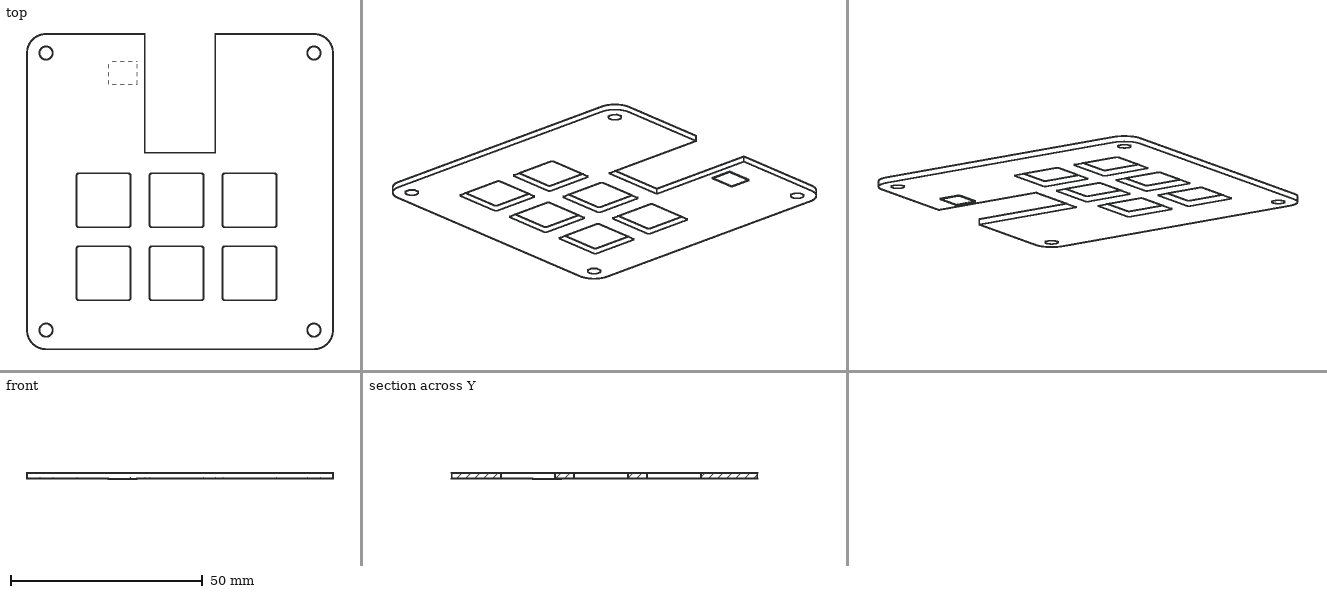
import cadquery as cq

plate_width = 79.9
plate_length = 82.3
plate_thickness = 1.5
corner_radius = 5.0

hole_diameter = 3.4
hole_spacing_x = plate_width - 2 * corner_radius
hole_spacing_y = plate_length - 2 * corner_radius

slot_width = 18.3
slot_depth = 31.0

switch_columns = 3
switch_rows = 2
switch_opening = 14.0
switch_pitch = 19.05
switch_corner_radius = 0.5
switch_grid_x = -0.9
switch_grid_y = -11.8

pad_width = 7.4
pad_length = 6.1
pad_height = 0.2
pad_x = -15.0
pad_y = 31.0


def make_plate():
    plate = cq.Workplane("XY").rect(plate_width, plate_length).extrude(plate_thickness)
    return plate.edges("|Z").fillet(corner_radius)


def make_mounting_holes():
    centres = cq.Workplane("XY").rect(hole_spacing_x, hole_spacing_y, forConstruction=True).vertices()
    return centres.circle(hole_diameter / 2).extrude(plate_thickness)


def make_slot():
    slot_centre_y = (plate_length - slot_depth) / 2
    return cq.Workplane("XY").center(0, slot_centre_y).rect(slot_width, slot_depth).extrude(plate_thickness)


def make_switch_openings():
    centres = cq.Workplane("XY").center(switch_grid_x, switch_grid_y).rarray(
        switch_pitch, switch_pitch, switch_columns, switch_rows
    )
    openings = centres.rect(switch_opening, switch_opening).extrude(plate_thickness)
    return openings.edges("|Z").fillet(switch_corner_radius)


def make_pad():
    return cq.Workplane("XY").center(pad_x, pad_y).rect(pad_width, pad_length).extrude(-pad_height)


result = (
    make_plate()
    .cut(make_mounting_holes())
    .cut(make_slot())
    .cut(make_switch_openings())
    .union(make_pad())
)